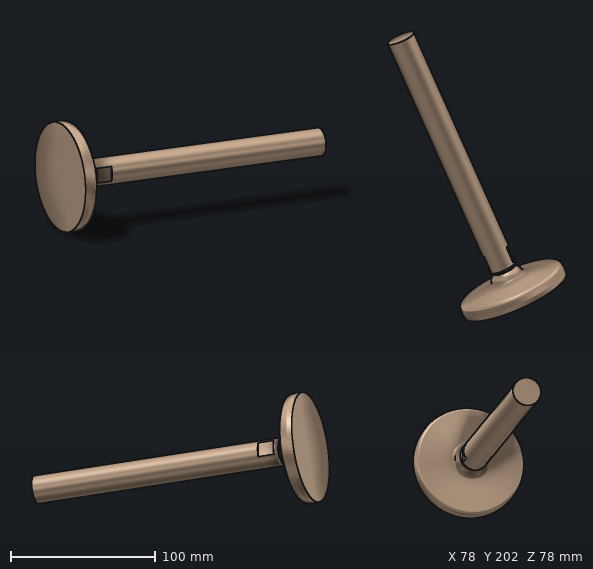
import cadquery as cq

TOTAL_LENGTH = 202.0

SOLE_RADIUS = 38.5
RIM_RADIUS = 39.0
RIM_WIDEST_Y = 3.8
RIM_ROUND_START_Y = 6.9
RIM_ROUND_RADIUS = 3.0
DOME_FOOT_RADIUS = 13.5
DOME_FOOT_Y = 13.5
DOME_BLEND_RADIUS = 3.2
DOME_RADIUS = 11.7
DOME_START_Y = 15.0
DOME_MIDDLE_RADIUS = 10.7
DOME_MIDDLE_Y = 17.5
DOME_TOP_RADIUS = 8.0
DOME_TOP_Y = 20.2

STEM_RADIUS = 20.0 / 2
STEM_END_Y = 22.2
STEM_ROUND_RADIUS = 0.8
NECK_RADIUS = 5.3
FLANGE_RADIUS = 8.9
FLANGE_EDGE_Y = 20.8
FLAT_START_Y = 24.0
FLAT_LENGTH = 11.5
ACROSS_FLATS = 17.0


def revolve_about_y(profile):
    """Turn a closed half profile in the XY plane about the Y axis."""
    return profile.close().revolve(360, (0, 0, 0), (0, 1, 0))


def make_foot():
    """Round plate with a tapered rim, a conical top and a central dome."""
    shoulder_radius = SOLE_RADIUS - RIM_ROUND_RADIUS
    shoulder_y = RIM_ROUND_START_Y + RIM_ROUND_RADIUS
    profile = (
        cq.Workplane("XY")
        .lineTo(SOLE_RADIUS, 0)
        .lineTo(RIM_RADIUS, RIM_WIDEST_Y)
        .lineTo(SOLE_RADIUS, RIM_ROUND_START_Y)
        .radiusArc((shoulder_radius, shoulder_y), -RIM_ROUND_RADIUS)
        .lineTo(DOME_FOOT_RADIUS, DOME_FOOT_Y)
        .radiusArc((DOME_RADIUS, DOME_START_Y), DOME_BLEND_RADIUS)
        .threePointArc((DOME_MIDDLE_RADIUS, DOME_MIDDLE_Y), (DOME_TOP_RADIUS, DOME_TOP_Y))
        .lineTo(0, DOME_TOP_Y)
    )
    return revolve_about_y(profile)


def make_stem_blank():
    """Long round rod whose neck flares into a small flange seated on the dome."""
    profile = (
        cq.Workplane("XY")
        .moveTo(0, DOME_TOP_Y)
        .lineTo(DOME_TOP_RADIUS, DOME_TOP_Y)
        .lineTo(FLANGE_RADIUS, FLANGE_EDGE_Y)
        .lineTo(NECK_RADIUS, STEM_END_Y)
        .lineTo(STEM_RADIUS - STEM_ROUND_RADIUS, STEM_END_Y)
        .radiusArc((STEM_RADIUS, STEM_END_Y + STEM_ROUND_RADIUS), -STEM_ROUND_RADIUS)
        .lineTo(STEM_RADIUS, TOTAL_LENGTH)
        .lineTo(0, TOTAL_LENGTH)
    )
    return revolve_about_y(profile)


def make_flat_cutter(side):
    """Block that removes the rod outside one wrench flat; side is -1 or +1 along X."""
    block_size = 2 * STEM_RADIUS
    center_x = side * (ACROSS_FLATS + block_size) / 2
    center_y = FLAT_START_Y + FLAT_LENGTH / 2
    return cq.Workplane("XY").box(block_size, FLAT_LENGTH, block_size).translate((center_x, center_y, 0))


def make_stem():
    """Rod with two opposite wrench flats next to the neck."""
    body = make_stem_blank()
    for side in (-1, 1):
        body = body.cut(make_flat_cutter(side))
    return body


foot = make_foot()
stem = make_stem()
result = cq.Compound.makeCompound([foot.val(), stem.val()])